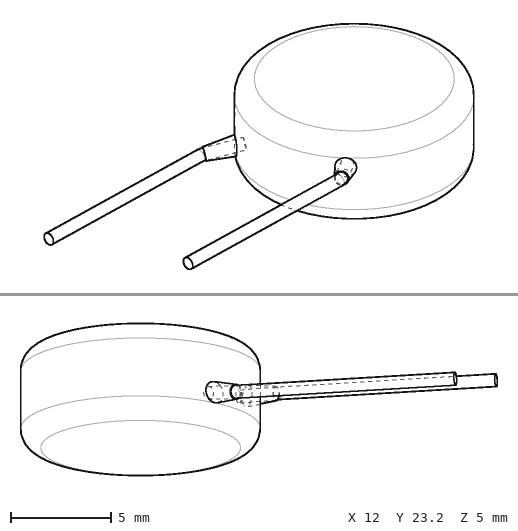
import cadquery as cq
import math

disc_diameter = 12.0
disc_height = 5.0
disc_edge_radius = 1.0

overall_length = 23.15
lead_diameter = 0.65
lead_spacing = 9.59
lead_height_offset = 1.3
bend_start_gap = 0.16
bend_radius = 0.42
bend_angle = 37.0
bend_roll = 18.0

collar_tip_diameter = 0.75
collar_root_diameter = 1.18
collar_length = 2.08

disc_radius = disc_diameter / 2
lead_end_y = disc_radius - overall_length
bend_start_y = -disc_radius - bend_start_gap
straight_length = bend_start_y - lead_end_y

bend_sine = math.sin(math.radians(bend_angle))
bend_cosine = math.cos(math.radians(bend_angle))
half_bend = math.radians(bend_angle / 2)
bend_middle = (
    bend_radius * (1 - math.cos(half_bend)),
    bend_radius * math.sin(half_bend),
)
bend_end = (bend_radius * (1 - bend_cosine), bend_radius * bend_sine)
root_end = (
    bend_end[0] + collar_length * bend_sine,
    bend_end[1] + collar_length * bend_cosine,
)


def straight_wire_center(side, y):
    """Point on the axis of one lead's straight run at the given Y."""
    return (side * lead_spacing / 2, y, side * lead_height_offset)


def make_bend_plane(side):
    """Plane of one lead's bend, with its origin where the straight wire ends.

    Side -1 is the low lead at -X and side +1 is the high lead at +X.
    """
    roll = math.radians(bend_roll)
    inward = cq.Vector(-side * math.cos(roll), 0, -side * math.sin(roll))
    origin = straight_wire_center(side, bend_start_y)
    return cq.Plane(origin=origin, xDir=inward, normal=inward.cross(cq.Vector(0, 1, 0)))


def make_lead(side):
    """Round wire: straight run, bend, and the sloping root that sits inside the collar."""
    path = (
        cq.Workplane(make_bend_plane(side))
        .moveTo(0, -straight_length)
        .lineTo(0, 0)
        .threePointArc(bend_middle, bend_end)
        .lineTo(*root_end)
    )
    wire_end = straight_wire_center(side, lead_end_y)
    return cq.Workplane("XZ", origin=wire_end).circle(lead_diameter / 2).sweep(path)


def make_collar(side):
    """Solid cone from the end of the bend to its root inside the disc."""
    plane = make_bend_plane(side)
    tip = plane.toWorldCoords(bend_end)
    root = plane.toWorldCoords(root_end)
    return cq.Workplane(
        cq.Solid.makeCone(collar_tip_diameter / 2, collar_root_diameter / 2, collar_length, tip, root - tip)
    )


def make_disc():
    """Flat cylinder with rounded top and bottom edges."""
    return (
        cq.Workplane("XY", origin=(0, 0, -disc_height / 2))
        .circle(disc_radius)
        .extrude(disc_height)
        .faces("|Z")
        .edges()
        .fillet(disc_edge_radius)
    )


sides = (-1, 1)
leads = [make_lead(side) for side in sides]

coating = make_disc()
for side in sides:
    coating = coating.union(make_collar(side))
for lead in leads:
    coating = coating.cut(lead)

result = cq.Compound.makeCompound([coating.val(), *[lead.val() for lead in leads]])